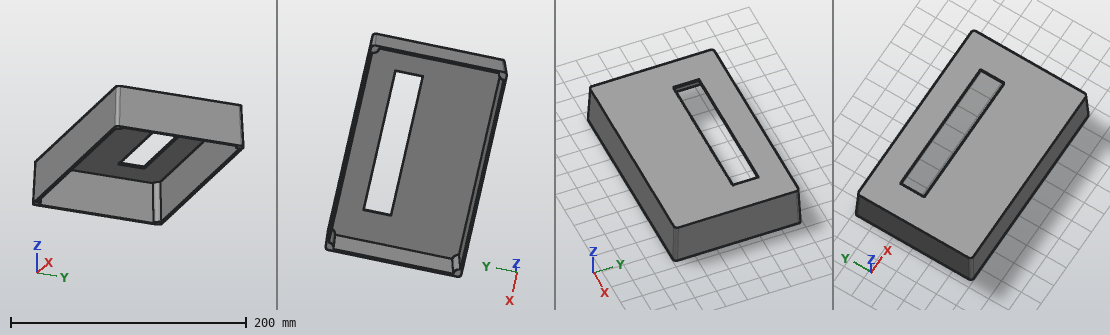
import cadquery as cq
import math

length = 187.0
width = 118.0
height = 38.0
wall = 1.9
top_thickness = 1.9
draft_inset = 1.5
draft_angle = math.degrees(math.atan(draft_inset / height))
corner_radius = 3.0

window_length = 127.2
window_width = 23.7
window_center_y = 20.0

post_radius = 5.0

inner_length = length - 2 * wall
inner_width = width - 2 * wall
cavity_height = height - top_thickness


def drafted_block(base_length, base_width, block_height):
    """Block standing on Z = 0 whose four sides lean inward by the draft angle."""
    return cq.Workplane("XY").rect(base_length, base_width).extrude(block_height, taper=draft_angle)


def corner_posts():
    """Posts centered on the inner corners, widening upwards by the same draft."""
    return (
        cq.Workplane("XY")
        .rect(inner_length, inner_width, forConstruction=True)
        .vertices()
        .circle(post_radius)
        .extrude(cavity_height, taper=-draft_angle)
    )


def window():
    """Rectangular opening behind the middle of the top plate."""
    return (
        cq.Workplane("XY")
        .center(0, window_center_y)
        .rect(window_length, window_width)
        .extrude(height)
    )


slanted_edges = "not(#Z)"
outer = drafted_block(length, width, height).edges(slanted_edges).fillet(corner_radius)
cavity = drafted_block(inner_length, inner_width, cavity_height).cut(corner_posts())

result = outer.cut(cavity).cut(window())